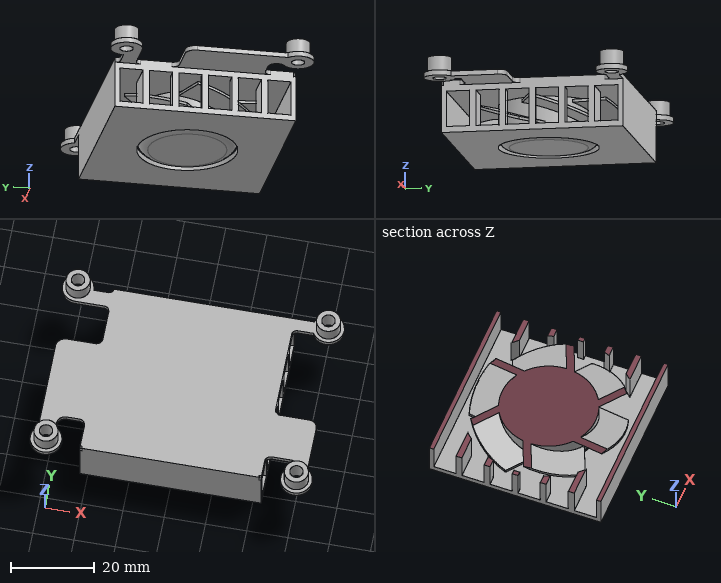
import cadquery as cq
import math

post_span_x = 60.7
post_span_y = 41.7
flange_dia = 7.65
post_dia = 5.8
screw_hole_dia = 3.15
box_side = 44.0
box_height = 11.5
plate_thickness = 1.2
post_height = 3.75

side_wall = 1.2
floor_thickness = 1.45
roof_thickness = 1.45
bar_width = 1.6
vent_count = 6

left_tab_x = -32.8
left_tab_top = 6.6
left_tab_bottom = -14.3
right_tab_x = 32.5
right_tab_top = -4.45
right_tab_bottom = -16.0
right_arm_bottom = 18.85
left_tab_radius = 2.45
right_tab_radius = 2.0
left_neck_radius = 2.05
right_neck_radius = 0.75
arm_radius = 1.2
notch_radius = 1.5
step_radius = 0.95
corner_relief = 0.55

hub_dia = 24.05
hub_rim_radius = 2.6
fan_dia = 38.0
blade_count = 6
blade_bottom = 3.3
blade_top = 9.6
blade_thickness = 0.7
blade_half_run = 8.35
first_blade_angle = 82.5

box_half = box_side / 2
post_x = post_span_x / 2
post_y = post_span_y / 2
flange_radius = flange_dia / 2
plate_top = box_height + plate_thickness
vent_bottom = floor_thickness
vent_top = box_height - roof_thickness
vent_height = vent_top - vent_bottom
inner_width = box_side - 2 * side_wall
vent_pitch = (inner_width + bar_width) / vent_count
vent_width = vent_pitch - bar_width
post_points = [(sx * post_x, sy * post_y) for sx in (-1, 1) for sy in (-1, 1)]


def block(x0, x1, y0, y1, z0, z1):
    """Axis-aligned block between two corners."""
    return cq.Workplane("XY").box(x1 - x0, y1 - y0, z1 - z0, centered=False).translate((x0, y0, z0))


def plate_block(x0, x1, y0, y1):
    """Block as thick as the mounting plate; x0 and x1 may be in either order."""
    x0, x1 = min(x0, x1), max(x0, x1)
    return block(x0, x1, y0, y1, box_height, plate_top)


def fillet_corner(plate, x, y, radius):
    """Round the upright plate edge at (x, y)."""
    mid_height = box_height + plate_thickness / 2
    corner = cq.NearestToPointSelector((x, y, mid_height))
    return plate.edges("|Z").edges(corner).fillet(radius)


def make_neck(side, tab_x, tab_bottom, radius):
    """Plate between a tab and its front post; a concave arc runs from the tab edge into the flange.

    The arc touches both the tab edge and the flange circle. side is -1 for left, 1 for right.
    """
    arc_y = tab_bottom - radius
    rise = arc_y + post_y
    reach = flange_radius + radius
    arc_x = side * (post_x - math.sqrt(reach ** 2 - rise ** 2))
    touch_y = -post_y + rise * flange_radius / reach
    neck = plate_block(tab_x, arc_x, touch_y, tab_bottom)
    neck = neck.union(plate_block(tab_x, side * post_x, -post_y, tab_bottom))
    arc = (
        cq.Workplane("XY", origin=(arc_x, arc_y, box_height))
        .circle(radius).extrude(plate_thickness)
    )
    return neck.cut(arc)


def make_plate():
    """Mounting plate: the box lid with arms, tabs and necks reaching out to the four post flanges."""
    left_arm_bottom = post_y - flange_radius
    plate = plate_block(-box_half, box_half, -box_half, box_half)
    plate = plate.union(plate_block(-post_x, 0, left_arm_bottom, post_y))
    plate = plate.union(plate_block(0, post_x, right_arm_bottom, box_half))
    plate = plate.union(plate_block(left_tab_x, 0, left_tab_bottom, left_tab_top))
    plate = plate.union(plate_block(0, right_tab_x, right_tab_bottom, right_tab_top))
    plate = plate.union(make_neck(-1, left_tab_x, left_tab_bottom, left_neck_radius))
    plate = plate.union(make_neck(1, right_tab_x, right_tab_bottom, right_neck_radius))
    flanges = (
        cq.Workplane("XY", origin=(0, 0, box_height))
        .pushPoints(post_points).circle(flange_radius).extrude(plate_thickness)
    )
    plate = plate.union(flanges)

    corners = [
        (left_tab_x, left_tab_top, left_tab_radius),
        (right_tab_x, right_tab_top, right_tab_radius),
        (-box_half, left_tab_top, notch_radius),
        (box_half, right_tab_top, notch_radius),
        (box_half, right_arm_bottom, arm_radius),
        (-box_half, left_arm_bottom, arm_radius),
        (-box_half, left_tab_bottom, notch_radius),
        (box_half, right_tab_bottom, notch_radius),
        (-box_half, post_y, step_radius),
    ]
    for x, y, radius in corners:
        plate = fillet_corner(plate, x, y, radius)

    relief_edge = box_half - corner_relief
    for x0, x1 in [(-box_half, -relief_edge), (relief_edge, box_half)]:
        plate = plate.cut(plate_block(x0, x1, -box_half, -relief_edge))
    return plate


def make_box():
    """Fan box: vents run straight through along X and open into a round fan chamber."""
    box = block(-box_half, box_half, -box_half, box_half, 0, box_height)
    for i in range(vent_count):
        y0 = -inner_width / 2 + i * vent_pitch
        box = box.cut(block(-box_half, box_half, y0, y0 + vent_width, vent_bottom, vent_top))
    chamber = (
        cq.Workplane("XY", origin=(0, 0, vent_bottom))
        .circle(inner_width / 2).extrude(vent_height)
    )
    box = box.cut(chamber)
    hub_seat = cq.Workplane("XY").circle(hub_dia / 2).extrude(floor_thickness)
    return box.cut(hub_seat)


def make_housing():
    """Fan box, mounting plate and hollow posts in one piece."""
    posts = (
        cq.Workplane("XY", origin=(0, 0, plate_top))
        .pushPoints(post_points).circle(post_dia / 2).extrude(post_height)
    )
    screw_holes = (
        cq.Workplane("XY", origin=(0, 0, box_height))
        .pushPoints(post_points).circle(screw_hole_dia / 2).extrude(plate_thickness + post_height)
    )
    return make_box().union(make_plate()).union(posts).cut(screw_holes)


def make_blade():
    """Flat sloping blade pointing along +X, trimmed to the fan diameter, with upright ends."""
    profile = [
        (-blade_half_run, blade_top),
        (blade_half_run, blade_bottom + blade_thickness),
        (blade_half_run, blade_bottom),
        (-blade_half_run, blade_top - blade_thickness),
    ]
    envelope = cq.Workplane("XY").circle(fan_dia / 2).extrude(blade_top)
    return cq.Workplane("YZ").polyline(profile).close().extrude(fan_dia / 2).intersect(envelope)


def make_fan():
    """Hub with a rounded lower rim and evenly spaced blades."""
    fan = cq.Workplane("XY").circle(hub_dia / 2).extrude(vent_top)
    fan = fan.faces("<Z").edges().fillet(hub_rim_radius)
    blade = make_blade()
    for i in range(blade_count):
        angle = first_blade_angle + i * 360 / blade_count
        fan = fan.union(blade.rotate((0, 0, 0), (0, 0, 1), angle))
    return fan


housing = make_housing()
fan = make_fan()
result = cq.Compound.makeCompound([housing.solids().val(), fan.solids().val()])